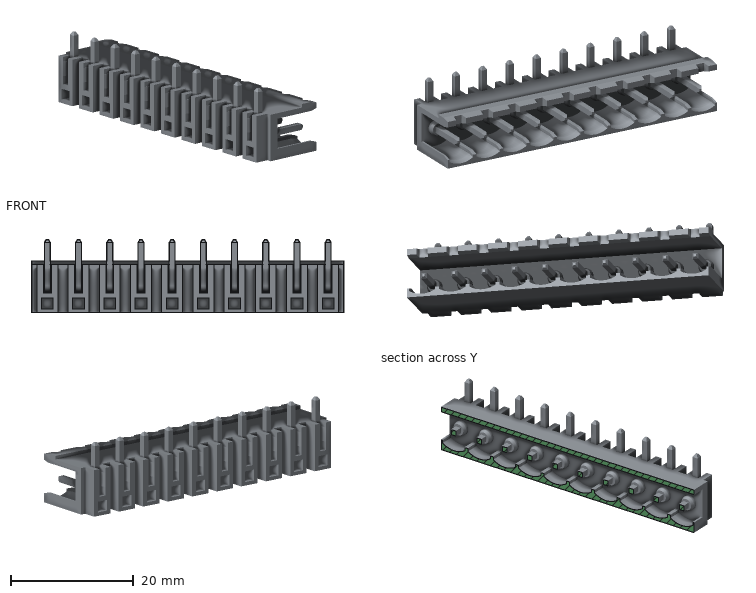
import cadquery as cq
import math

pole_count = 10
pitch = 5.08
length = pole_count * pitch

total_depth = 12.2
column_depth = 2.35
cavity_back = 3.8
body_height = 7.85
cavity_floor = 1.87
cavity_ceiling = 6.93
lip_height = 8.45
lip_start = 9.15
lip_lead_in = 1.43
lip_tip_top = 8.17
lip_tip_bottom = 7.2
lip_under_lead_in = 1.1
floor_lead_in = 1.23
floor_tip = 1.5

pin_width = 1.0
pin_axis_z = 3.85
pin_axis_y = 1.87
pin_tip_y = 11.3
pin_top = 11.9
pin_point_length = 0.5
pin_point_width = 0.4
bend_radius = 1.0

collar_diameter = 2.5
collar_end_diameter = 2.0
collar_length = 0.5
collar_taper_length = 0.5

column_width = 3.4
slot_width = 1.3
slot_floor = 3.2
grip_rib_bottom = 4.6
grip_rib_top = 7.0
grip_rib_lead_in = 0.5
pocket_width = 1.9
pocket_bottom = 0.6
pocket_height = 1.8

scoop_radius = 4.0
scoop_bottom = 0.65
scoop_width = 4.4
scoop_flare = 0.2
notch_depth = 1.13
notch_mouth_width = 1.9
notch_back_width = 1.5


def yz_prism(points, start_x, width):
    """Extrude a closed (y, z) outline along +X from start_x."""
    return cq.Workplane("YZ").workplane(offset=start_x).polyline(points).close().extrude(width)


def box_at(size, corner):
    """Box with its lowest corner at the given point."""
    return cq.Workplane("XY").box(*size, centered=False).translate(corner)


def make_body():
    outline = [
        (column_depth, 0),
        (total_depth, 0),
        (total_depth, floor_tip),
        (total_depth - floor_lead_in, cavity_floor),
        (cavity_back, cavity_floor),
        (cavity_back, cavity_ceiling),
        (total_depth - lip_under_lead_in, cavity_ceiling),
        (total_depth, lip_tip_bottom),
        (total_depth, lip_tip_top),
        (total_depth - lip_lead_in, lip_height),
        (lip_start, lip_height),
        (lip_start, body_height),
        (column_depth, body_height),
    ]
    return yz_prism(outline, 0, length)


def make_column(x):
    """Solder-side column with an open pin slot and a blind square pocket."""
    column = box_at((column_width, column_depth, body_height), (x - column_width / 2, 0, 0))
    slot = box_at(
        (slot_width, column_depth, body_height - slot_floor),
        (x - slot_width / 2, 0, slot_floor),
    )
    pocket = box_at(
        (pocket_width, column_depth, pocket_height),
        (x - pocket_width / 2, 0, pocket_bottom),
    )
    return column.cut(slot).cut(pocket)


def make_grip_ribs(x):
    """Two ribs with sloped fronts that close the slot down to the pin width."""
    ribs = cq.Workplane("XY").workplane(offset=grip_rib_bottom)
    for side in (-1, 1):
        wall_x = x + side * slot_width / 2
        pin_side_x = x + side * pin_width / 2
        ribs = (
            ribs.moveTo(wall_x, 0)
            .lineTo(pin_side_x, grip_rib_lead_in)
            .lineTo(pin_side_x, column_depth)
            .lineTo(wall_x, column_depth)
            .close()
        )
    return ribs.extrude(grip_rib_top - grip_rib_bottom)


def make_scoop(x):
    """Round-bottomed trough in the cavity floor below a pin, flared at the mouth."""
    flare_start = total_depth - floor_lead_in
    mouth_radius = scoop_radius + scoop_flare
    profile = [
        (0, cavity_back),
        (scoop_radius, cavity_back),
        (scoop_radius, flare_start),
        (mouth_radius, total_depth),
        (0, total_depth),
    ]
    trough = cq.Workplane("XY").polyline(profile).close().revolve(360, (0, 0, 0), (0, 1, 0))
    axis_z = scoop_bottom + scoop_radius
    cell = box_at(
        (scoop_width, total_depth, pin_axis_z),
        (x - scoop_width / 2, 0, 0),
    )
    return trough.translate((x, 0, axis_z)).intersect(cell)


def make_notch(x):
    """Tapered notch through the upper lip."""
    outline = [
        (x - notch_mouth_width / 2, total_depth),
        (x - notch_back_width / 2, total_depth - notch_depth),
        (x + notch_back_width / 2, total_depth - notch_depth),
        (x + notch_mouth_width / 2, total_depth),
    ]
    cut_bottom = pin_axis_z
    prism = cq.Workplane("XY").workplane(offset=cut_bottom).polyline(outline).close()
    return prism.extrude(lip_height - cut_bottom)


def make_point():
    """Pyramid-shaped pin point rising from the XY plane."""
    base = cq.Workplane("XY").rect(pin_width, pin_width)
    return base.workplane(offset=pin_point_length).rect(pin_point_width, pin_point_width).loft()


def make_pin(x):
    """Square pin bent from the upright solder leg into the plug contact."""
    half = pin_width / 2
    leg_front = pin_axis_y - half
    contact_bottom = pin_axis_z - half
    contact_end = pin_tip_y - pin_point_length
    leg_end = pin_top - pin_point_length
    arc_inset = bend_radius * (1 - math.sqrt(0.5))
    bar = (
        cq.Workplane("YZ")
        .workplane(offset=x - half)
        .moveTo(leg_front + bend_radius, contact_bottom)
        .lineTo(contact_end, contact_bottom)
        .lineTo(contact_end, pin_axis_z + half)
        .lineTo(pin_axis_y + half, pin_axis_z + half)
        .lineTo(pin_axis_y + half, leg_end)
        .lineTo(leg_front, leg_end)
        .lineTo(leg_front, contact_bottom + bend_radius)
        .threePointArc(
            (leg_front + arc_inset, contact_bottom + arc_inset),
            (leg_front + bend_radius, contact_bottom),
        )
        .close()
        .extrude(pin_width)
    )
    leg_point = make_point().translate((x, pin_axis_y, leg_end))
    contact_point = make_point().rotate((0, 0, 0), (1, 0, 0), -90)
    contact_point = contact_point.translate((x, contact_end, pin_axis_z))
    return bar.union(leg_point).union(contact_point)


def make_collar(x):
    """Round collar with a tapered end around a pin."""
    straight_end = cavity_back + collar_length
    profile = [
        (0, cavity_back),
        (collar_diameter / 2, cavity_back),
        (collar_diameter / 2, straight_end),
        (collar_end_diameter / 2, straight_end + collar_taper_length),
        (0, straight_end + collar_taper_length),
    ]
    collar = cq.Workplane("XY").polyline(profile).close().revolve(360, (0, 0, 0), (0, 1, 0))
    return collar.translate((x, 0, pin_axis_z))


pole_centers = [(index + 0.5) * pitch for index in range(pole_count)]

result = make_body()
for center in pole_centers:
    result = result.union(make_column(center)).union(make_grip_ribs(center))
for center in pole_centers:
    result = result.cut(make_scoop(center)).cut(make_notch(center))
for center in pole_centers:
    result = result.union(make_collar(center)).union(make_pin(center))